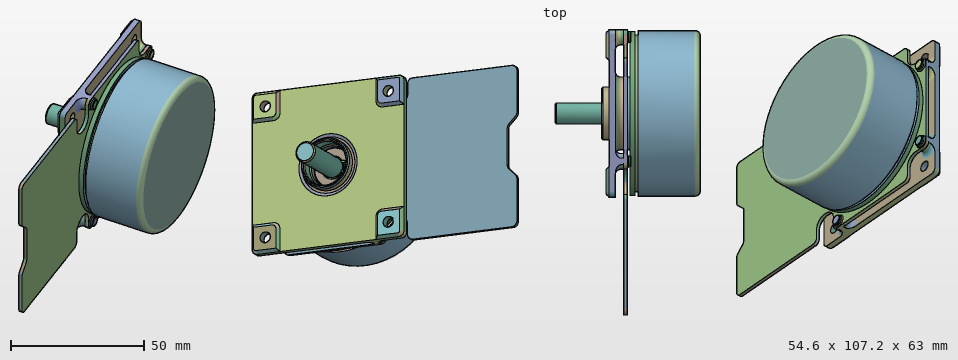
import cadquery as cq


boss_front = 17.5
pad_front = 19.1
plate_front = 20.3
plate_back = 22.6
board_front = 25.7
board_back = 27.1
flange_front = 28.1
pin_end = 28.5
flange_back = 30.0
can_front = 31.2
can_end = 54.6

plate_size = 63.0
half_plate = plate_size / 2
corner_radius = 2.0
pad_size = 11.6
pad_inner_radius = 2.8
pad_chamfer = plate_front - pad_front
mount_hole_dia = 4.2
mount_hole_offset = 25.5

tube_dia = 27.5
post_dia = 6.0
flare_radius = 2.0
post_far = 28.7
post_near = 18.0
pin_dia = 4.2
pin_base_chamfer = 0.4
pin_tip_chamfer = 0.3

overall_length = 107.2
board_reach = overall_length - half_plate
clearance_radius = 4.6
clearance_edge = mount_hole_offset - clearance_radius
slot_far_edge = 30.5
end_notch_half = 12.0
end_notch_depth = 4.0

can_dia = 62.3
can_fillet = 2.0
flange_dia = 61.8
groove_dia = 59.1

boss_dia = 20.0
boss_chamfer = 0.5
dish_outer_dia = 24.1
dish_inner_dia = 21.9
dish_depth = 0.4
bore_dia = 17.0
bore_chamfer = 0.4
bore_step = 22.1
inner_bore_dia = 16.0
inner_bore_start = bore_step + (bore_dia - inner_bore_dia) / 2
bore_floor = 24.7
floor_chamfer = 0.4

shaft_dia = 8.0
shaft_chamfer = 0.5
clip_dia = 9.0
clip_thickness = 0.4
lug_reach = 5.3
lug_width = 4.5
lug_radius = 0.8
lug_slot_reach = 4.5
lug_slot_width = 2.8


def at(x):
    """Sketch plane facing +X at the given station (sketch axes are Y and Z)."""
    return cq.Workplane("YZ", origin=(x, 0, 0))


def disc(diameter, start, end):
    return at(start).circle(diameter / 2).extrude(end - start)


def square_prism(start, end):
    """Prism with the rounded square outline of the plate."""
    prism = at(start).rect(plate_size, plate_size).extrude(end - start)
    return prism.edges("|X").fillet(corner_radius)


def turned(points):
    """Solid of revolution about the X axis from (x, radius) points."""
    return cq.Workplane("XY").polyline(points).close().revolve(360, (0, 0, 0), (1, 0, 0))


def flared_column(diameter, end):
    """Round column on the back of the plate, with a concave flare at its root."""
    radius = diameter / 2
    flare_end = plate_back + flare_radius
    profile = (
        cq.Workplane("XY")
        .moveTo(plate_front, 0)
        .lineTo(plate_front, radius + flare_radius)
        .lineTo(plate_back, radius + flare_radius)
        .radiusArc((flare_end, radius), -flare_radius)
        .lineTo(end, radius)
        .lineTo(end, 0)
        .close()
    )
    return profile.revolve(360, (0, 0, 0), (1, 0, 0))


def corner_pad(side_y, side_z):
    centre = half_plate - pad_size / 2
    pad = (
        at(pad_front)
        .center(side_y * centre, side_z * centre)
        .rect(pad_size, pad_size)
        .extrude(plate_back - pad_front)
    )
    outer_corner = cq.NearestToPointSelector((plate_front, side_y * half_plate, side_z * half_plate))
    inner_corner = cq.NearestToPointSelector((plate_front, 0, 0))
    pad = pad.edges("|X").edges(outer_corner).fillet(corner_radius)
    pad = pad.edges("|X").edges(inner_corner).fillet(pad_inner_radius)
    return pad.faces("<X").edges().chamfer(pad_chamfer)


def mounting_plate():
    plate = square_prism(plate_front, plate_back)
    for side_y in (-1, 1):
        for side_z in (-1, 1):
            plate = plate.union(corner_pad(side_y, side_z))
    holes = at(pad_front).rect(2 * mount_hole_offset, 2 * mount_hole_offset, forConstruction=True)
    return plate.cut(holes.vertices().circle(mount_hole_dia / 2).extrude(plate_back - pad_front))


def post_with_pin():
    """Post up to the board, continued by a thinner pin through to the motor."""
    pin_radius = pin_dia / 2
    pin = turned([
        (board_front, 0),
        (board_front, pin_radius + pin_base_chamfer),
        (board_back, pin_radius + pin_base_chamfer),
        (board_back + pin_base_chamfer, pin_radius),
        (pin_end - pin_tip_chamfer, pin_radius),
        (pin_end, pin_radius - pin_tip_chamfer),
        (pin_end, 0),
    ])
    return flared_column(post_dia, board_front).union(pin)


def posts():
    """Four posts, trimmed flush with the sides of the plate."""
    post = post_with_pin()
    group = cq.Workplane("XY")
    for side_z in (-1, 1):
        for y, z in ((post_far, post_near), (-post_near, post_far)):
            group = group.union(post.translate((0, y, side_z * z)))
    return group.intersect(square_prism(plate_front, pin_end))


def circuit_board():
    tolerance = 0.01
    upper_half = [
        (half_plate, clearance_edge),
        (clearance_edge, clearance_edge),
        (clearance_edge, half_plate),
        (-clearance_edge, half_plate),
        (-clearance_edge, clearance_edge),
        (-slot_far_edge, clearance_edge),
        (-slot_far_edge, half_plate),
        (-board_reach, half_plate),
        (-board_reach, end_notch_half),
        (end_notch_depth - board_reach, end_notch_half - end_notch_depth),
    ]
    lower_half = [(y, -z) for y, z in reversed(upper_half)]
    board = at(board_front).polyline(upper_half + lower_half).close().extrude(board_back - board_front)

    def is_clearance_corner(edge):
        centre = edge.Center()
        on_edge_line = abs(abs(centre.z) - clearance_edge) < tolerance
        return on_edge_line and centre.y < half_plate - tolerance

    board = board.edges("|X").filter(is_clearance_corner).fillet(clearance_radius)

    def is_sharp_corner(edge):
        centre = edge.Center()
        return any(abs(centre.y - y) + abs(abs(centre.z) - z) < tolerance for y, z in upper_half)

    return board.edges("|X").filter(is_sharp_corner).fillet(corner_radius)


def motor_can():
    flange = disc(flange_dia, flange_front, flange_back)
    groove = disc(groove_dia, flange_back, can_front)
    can = disc(can_dia, can_front, can_end).faces(">X").edges().fillet(can_fillet)
    return flange.union(groove).union(can)


def dish():
    """Shallow conical ring sunk into the plate around the boss."""
    cone = turned([
        (plate_front, 0),
        (plate_front, dish_outer_dia / 2),
        (plate_front + dish_depth, dish_inner_dia / 2),
        (plate_front + dish_depth, 0),
    ])
    return cone.cut(disc(boss_dia, plate_front, plate_back))


def boss():
    return disc(boss_dia, boss_front, plate_back).faces("<X").edges().chamfer(boss_chamfer)


def bore():
    """Stepped bore with a chamfered disc as its floor."""
    bore_radius = bore_dia / 2
    inner_radius = inner_bore_dia / 2
    return turned([
        (boss_front, 0),
        (boss_front, bore_radius + bore_chamfer),
        (boss_front + bore_chamfer, bore_radius),
        (bore_step, bore_radius),
        (inner_bore_start, inner_radius),
        (bore_floor + floor_chamfer, inner_radius),
        (bore_floor, inner_radius - floor_chamfer),
        (bore_floor, 0),
    ])


def shaft():
    return disc(shaft_dia, 0, bore_floor).faces("<X").edges().chamfer(shaft_chamfer)


def retaining_clip():
    """Thin ring around the shaft root, with a slotted lug on the -Y side."""
    front = bore_floor - clip_thickness
    lug = at(front).center(-lug_reach / 2, 0).rect(lug_reach, lug_width).extrude(clip_thickness)
    lug = lug.edges("|X and <Y").fillet(lug_radius)
    slot = at(front).center(-lug_slot_reach / 2, 0).rect(lug_slot_reach, lug_slot_width)
    return disc(clip_dia, front, bore_floor).union(lug).cut(slot.extrude(clip_thickness))


result = (
    mounting_plate()
    .union(flared_column(tube_dia, flange_front))
    .cut(dish())
    .union(posts())
    .union(circuit_board())
    .union(motor_can())
    .union(boss())
    .cut(bore())
    .union(retaining_clip())
    .union(shaft())
)